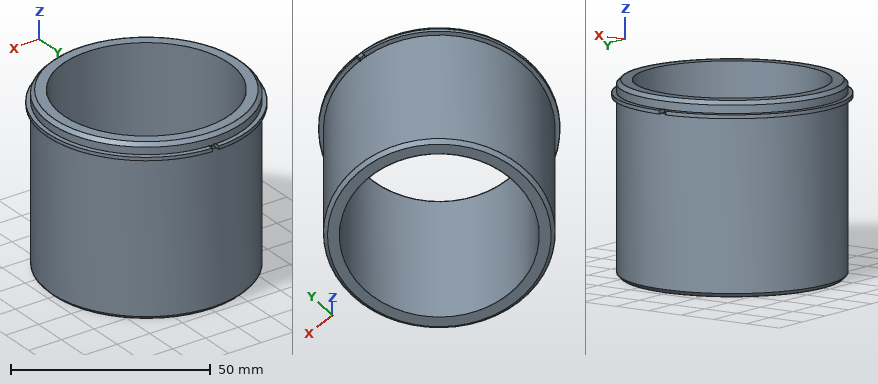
import cadquery as cq

sleeve_height = 50.0
sleeve_outer_diameter = 58.0
bore_diameter = 50.0
edge_chamfer = 1.0

ring_outer_diameter = 60.4
ring_thickness = 0.95
ring_gap = 2.0
groove_depth = 1.2
groove_width = 1.1
groove_bottom_z = 45.8
groove_diameter = sleeve_outer_diameter - 2 * groove_depth


def annulus(outer_diameter, inner_diameter, height, bottom_z):
    """Flat-ended ring around the Z axis."""
    return (
        cq.Workplane("XY", origin=(0, 0, bottom_z))
        .circle(outer_diameter / 2)
        .circle(inner_diameter / 2)
        .extrude(height)
    )


def make_sleeve():
    """Tube with chamfered outer rims and a ring groove near the top."""
    body = cq.Workplane("XY").circle(sleeve_outer_diameter / 2).extrude(sleeve_height)
    body = body.faces("<Z or >Z").edges().chamfer(edge_chamfer)
    bore = cq.Workplane("XY").circle(bore_diameter / 2).extrude(sleeve_height)
    groove = annulus(ring_outer_diameter, groove_diameter, groove_width, groove_bottom_z)
    return body.cut(bore).cut(groove)


def make_retaining_ring():
    """Ring resting on the groove's lower wall, split on the +Y side."""
    ring = annulus(ring_outer_diameter, groove_diameter, ring_thickness, groove_bottom_z)
    split = (
        cq.Workplane("XY", origin=(0, 0, groove_bottom_z))
        .rect(ring_gap, ring_outer_diameter)
        .extrude(ring_thickness)
        .translate((0, ring_outer_diameter / 2, 0))
    )
    return ring.cut(split)


sleeve = make_sleeve()
retaining_ring = make_retaining_ring()

result = cq.Compound.makeCompound([sleeve.val(), retaining_ring.val()])